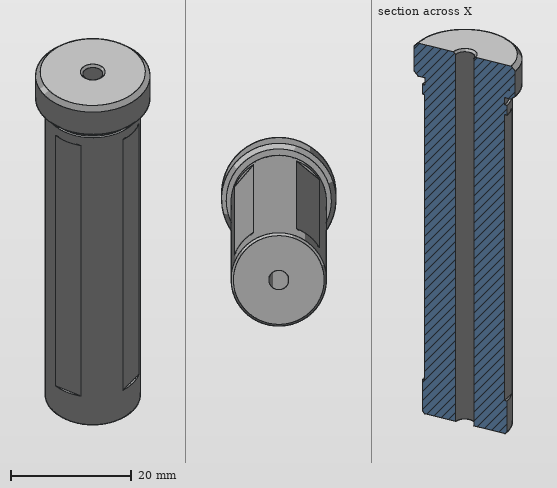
import cadquery as cq
import math

total_height = 69.85
head_height = 6.35
head_base_z = total_height - head_height

head_diameter = 19.05
shank_diameter = 15.875
bore_diameter = 3.3
bore_mouth_diameter = 4.1

head_chamfer = 0.79
foot_chamfer = 0.4
bore_chamfer = (bore_mouth_diameter - bore_diameter) / 2

relief_depth = 0.4
relief_height = 1.27

flat_count = 4
flat_bottom_z = 6.35
flat_top_z = head_base_z - 3.175
flat_length = flat_top_z - flat_bottom_z

relief_radius = shank_diameter / 2 - relief_depth
flat_width = 2 * math.sqrt((shank_diameter / 2) ** 2 - relief_radius ** 2)


def cylinder(diameter, bottom_z, height):
    return cq.Workplane("XY").workplane(offset=bottom_z).circle(diameter / 2).extrude(height)


def make_shank():
    """Round shank with a chamfered foot, reaching up to the relief groove."""
    shank = cylinder(shank_diameter, 0, head_base_z - relief_height)
    return shank.faces("<Z").edges().chamfer(foot_chamfer)


def make_relief():
    """Reduced neck between the shank and the head."""
    return cylinder(2 * relief_radius, head_base_z - relief_height, relief_height)


def make_head():
    """Round head with both rims chamfered."""
    return cylinder(head_diameter, head_base_z, head_height).edges("%CIRCLE").chamfer(head_chamfer)


def make_flat_cutter(angle):
    """Block whose inner face lies on a flat; oversized so that it clears the shank."""
    cutter = cq.Workplane("XY").box(
        shank_diameter / 2,
        2 * flat_width,
        flat_length,
        centered=(False, True, False),
    )
    return cutter.translate((relief_radius, 0, flat_bottom_z)).rotate((0, 0, 0), (0, 0, 1), angle)


def make_bore_cutter():
    """Through bore with a chamfered mouth in the top of the head."""
    bore = cylinder(bore_diameter, 0, total_height)
    mouth = (
        cq.Workplane("XY")
        .workplane(offset=total_height - bore_chamfer)
        .circle(bore_diameter / 2)
        .workplane(offset=bore_chamfer)
        .circle(bore_mouth_diameter / 2)
        .loft()
    )
    return bore.union(mouth)


body = make_shank().union(make_relief()).union(make_head())
for index in range(flat_count):
    body = body.cut(make_flat_cutter(index * 360 / flat_count))

result = body.cut(make_bore_cutter())